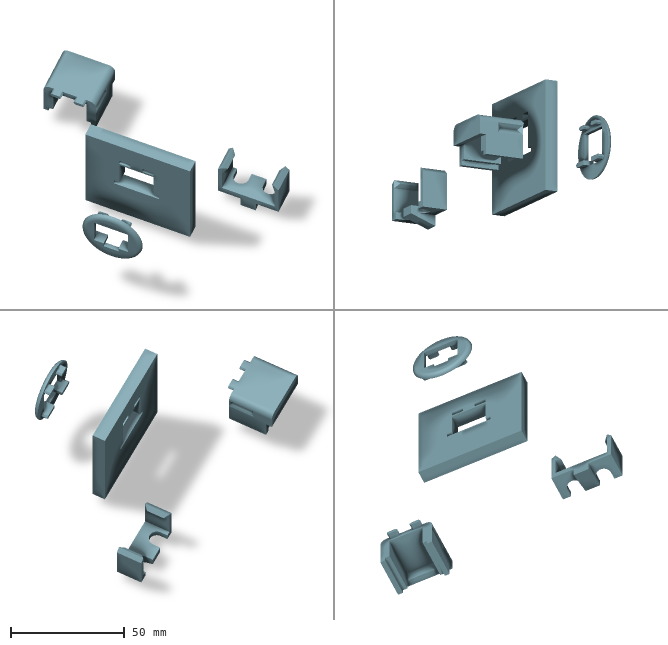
import cadquery as cq
import math


barb_reach = 2.0
peg_width = 5.0
peg_height = 1.7
peg_tip_height = 0.3
peg_length = 2.9
peg_spacing = 11.0

plate_size = 50.0
plate_thickness = 6.0
plate_left = 35.5
plate_bottom = 5.0
plate_front = 34.0
opening_x = 59.9
window_bottom = 25.5
window_top = 40.8
peg_hole_width = 5.3
peg_hole_height = 2.3
peg_hole_bottom = 41.8
peg_slot_width = 21.3
peg_slot_height = 2.2
window_width = peg_spacing + peg_hole_width

ring_x = 62.3
ring_z = 34.8
ring_diameter = 28.5
ring_thickness = 2.1
ring_rounding = 2.0
ring_window_width = 16.3
ring_window_top = 42.5
ring_window_bottom = 29.4
ring_notch_width = 7.1
ring_notch_depth = 2.1
upper_peg_z = 44.5
lower_peg_width = 21.2

cap_width = 25.0
cap_height = 18.1
cap_depth = 21.2
cap_top = 25.6
cap_front = 70.0
cap_rounding = 3.0
cap_roof = 2.9
cap_wall = 4.5
cap_back_wall = 2.9
cap_back_drop = 9.2
cap_lip_width = 2.3
cap_lip_height = 2.2

recess_length = 12.0
recess_top_drop = cap_rounding
recess_lead_depth = 0.5
recess_lead_height = 1.0

clip_right = 115.9
clip_arm = 2.0
clip_width = 29.0
clip_depth = recess_length
clip_front = 61.6
clip_bottom = 5.0
clip_top = 23.1
clip_floor = 3.1
arm_bevel_height = 1.7
barb_half_height = 1.9
cable_slot_width = 7.0
cable_slot_spacing = 14.0
tab_width = 7.2
tab_slope = 20.0

ring_notch_bottom = ring_window_bottom - ring_notch_depth
plate_centre_x = plate_left + plate_size / 2
cap_x = cap_width / 2
cap_bottom = cap_top - cap_height
cap_back = cap_front + cap_depth
clip_x = clip_right - clip_width / 2
clip_left = clip_right - clip_width
clip_back = clip_front + clip_depth


def block(x_mid, width, y_min, y_max, z_min, z_max):
    """Box centred on x_mid, given by its limits along Y and Z."""
    return (
        cq.Workplane("XY")
        .box(width, y_max - y_min, z_max - z_min, centered=(True, False, False))
        .translate((x_mid, y_min, z_min))
    )


def extrude_along_y(outline, y_min, y_max):
    """Prism from a closed (x, z) outline, running from y_min to y_max."""
    return (
        cq.Workplane("XZ", origin=(0, y_min, 0))
        .polyline(outline)
        .close()
        .extrude(y_min - y_max)
    )


def extrude_along_x(outline, x_min, x_max):
    """Prism from a closed (y, z) outline, running from x_min to x_max."""
    return (
        cq.Workplane("YZ", origin=(x_min, 0, 0))
        .polyline(outline)
        .close()
        .extrude(x_max - x_min)
    )


def peg(x_mid, z_mid, y_min, y_max, width=peg_width, height=peg_height):
    """Flat peg along Y, its sides bevelled at 45 degrees down to a narrow tip."""
    bevel = (height - peg_tip_height) / 2
    return block(
        x_mid, width, y_min, y_max, z_mid - height / 2, z_mid + height / 2,
    ).edges("|Y").chamfer(bevel)


def ridge(outline, y_min, y_max):
    """Ridge pointing to +X from a wall at its first point's X.

    Both ends are cut back at 45 degrees, so it is shorter towards its tip.
    """
    wall_x = outline[0][0]
    tip_x = max(x for x, z in outline)
    reach = tip_x - wall_x
    z_values = [z for x, z in outline]
    tapered_ends = (
        cq.Workplane("XY", origin=(0, 0, min(z_values)))
        .polyline([
            (wall_x, y_min),
            (tip_x, y_min + reach),
            (tip_x, y_max - reach),
            (wall_x, y_max),
        ])
        .close()
        .extrude(max(z_values) - min(z_values))
    )
    return extrude_along_y(outline, y_min, y_max).intersect(tapered_ends)


def mirror_across(shape, x_mid):
    """Mirror image of a shape in the plane X = x_mid."""
    return shape.mirror("YZ", (x_mid, 0, 0))


def make_plate():
    """Square plate with a window, two peg holes above it and a slot at its foot."""
    plate_back = plate_front + plate_thickness
    plate = block(
        plate_centre_x, plate_size, plate_front, plate_back,
        plate_bottom, plate_bottom + plate_size,
    )
    plate = plate.cut(block(
        opening_x, window_width, plate_front, plate_back, window_bottom, window_top,
    ))
    plate = plate.cut(block(
        opening_x, peg_slot_width, plate_front, plate_back,
        window_bottom, window_bottom + peg_slot_height,
    ))
    for side in (-1, 1):
        plate = plate.cut(block(
            opening_x + side * peg_spacing / 2, peg_hole_width, plate_front, plate_back,
            peg_hole_bottom, peg_hole_bottom + peg_hole_height,
        ))
    return plate


def make_ring():
    """Round cover with a keystone window and four pegs on its back."""
    ring = (
        cq.Workplane("XZ", origin=(ring_x, 0, ring_z))
        .circle(ring_diameter / 2)
        .extrude(-ring_thickness)
        .faces("<Y").edges().fillet(ring_rounding)
    )
    peg_end = ring_thickness + peg_length
    for side in (-1, 1):
        ring = ring.union(peg(
            ring_x + side * peg_spacing / 2, upper_peg_z, ring_thickness, peg_end,
        ))
    ring = ring.union(peg(
        ring_x, (ring_window_bottom + ring_notch_bottom) / 2, ring_thickness, peg_end,
        lower_peg_width, ring_notch_depth,
    ))
    ring = ring.cut(block(
        ring_x, ring_window_width, 0, ring_thickness, ring_window_bottom, ring_window_top,
    ))
    ring = ring.cut(block(
        ring_x, ring_notch_width, 0, peg_end, ring_notch_bottom, ring_window_bottom,
    ))
    return ring


def make_snap_recess():
    """Groove for a clip barb in the left side of the cap, with a lead-in below it."""
    top = cap_top - recess_top_drop
    groove_bottom = top - 2 * barb_reach + recess_lead_depth
    outline = [
        (0, top),
        (barb_reach, top - barb_reach),
        (recess_lead_depth, groove_bottom),
        (0, groove_bottom - recess_lead_height),
    ]
    return ridge(outline, cap_front, cap_front + recess_length)


def make_cap():
    """Hood with a back wall, side snap recesses and two pegs at the front."""
    cap = block(cap_x, cap_width, cap_front, cap_back, cap_bottom, cap_top)
    cap = cap.edges("|Y and >Z").fillet(cap_rounding)
    cap = cap.cut(block(
        cap_x, cap_width - 2 * cap_wall, cap_front, cap_back - cap_back_wall,
        cap_bottom, cap_top - cap_roof,
    ))
    cap = cap.cut(block(
        cap_x, cap_width, cap_back - cap_back_wall, cap_back,
        cap_bottom, cap_top - cap_back_drop,
    ))
    cap = cap.cut(block(
        cap_x, cap_width - 2 * cap_lip_width, cap_front, cap_back,
        cap_bottom, cap_bottom + cap_lip_height,
    ))
    recess = make_snap_recess()
    cap = cap.cut(recess).cut(mirror_across(recess, cap_x))
    for side in (-1, 1):
        cap = cap.union(peg(
            cap_x + side * peg_spacing / 2, cap_top - peg_height / 2,
            cap_front - peg_length, cap_front,
        ))
    return cap


def make_clip_arm():
    """Left arm of the clip, bevelled outside, with a snap barb inside its top."""
    inner_x = clip_left + clip_arm
    arm = extrude_along_y(
        [
            (clip_left, clip_bottom),
            (inner_x, clip_bottom),
            (inner_x, clip_top),
            (clip_left, clip_top - arm_bevel_height),
        ],
        clip_front, clip_back,
    )
    barb = ridge(
        [
            (inner_x, clip_top),
            (inner_x + barb_reach, clip_top - barb_half_height),
            (inner_x, clip_top - 2 * barb_half_height),
        ],
        clip_front, clip_back,
    )
    return arm.union(barb)


def make_cable_slot(x_mid):
    """Round-ended slot through the clip floor, open at the back."""
    radius = cable_slot_width / 2
    round_end = (
        cq.Workplane("XY")
        .circle(radius)
        .extrude(clip_bottom + clip_floor)
        .translate((x_mid, clip_back - radius, 0))
    )
    mouth = block(
        x_mid, cable_slot_width, clip_back - radius, clip_back, 0, clip_bottom + clip_floor,
    )
    return round_end.union(mouth)


def make_clip():
    """U-shaped clip with barbed arms, slotted floor and a sloped tab below."""
    arm = make_clip_arm()
    clip = block(
        clip_x, clip_width, clip_front, clip_back, clip_bottom, clip_bottom + clip_floor,
    )
    clip = clip.union(arm).union(mirror_across(arm, clip_x))
    slope_rise = clip_depth * math.tan(math.radians(tab_slope))
    tab = extrude_along_x(
        [
            (clip_front, 0),
            (clip_front, clip_bottom),
            (clip_back, clip_bottom),
            (clip_back, slope_rise),
        ],
        clip_x - tab_width / 2, clip_x + tab_width / 2,
    )
    clip = clip.union(tab)
    for side in (-1, 1):
        clip = clip.cut(make_cable_slot(clip_x + side * cable_slot_spacing / 2))
    return clip


plate = make_plate()
ring = make_ring()
cap = make_cap()
clip = make_clip()

result = cq.Compound.makeCompound([
    plate.solids().val(),
    ring.solids().val(),
    cap.solids().val(),
    clip.solids().val(),
])